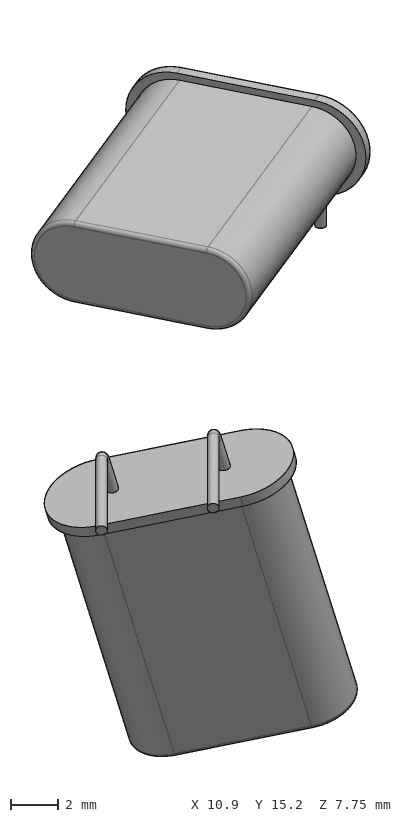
import cadquery as cq

can_width = 10.0
can_height = 4.0
can_length = 12.5
can_edge_radius = 0.2

flange_width = 10.9
flange_height = 4.65
flange_thickness = 0.5

lead_diameter = 0.5
lead_spacing = 4.88
lead_reach = 2.25
lead_bend_radius = 0.5
overall_height = 7.75

flange_back = flange_thickness
lead_drop_y = flange_back + lead_reach - lead_diameter / 2
lead_tip_z = flange_height / 2 - overall_height


def stadium(width, height, y_start, length):
    """Upright stadium outline in XZ, extruded towards +Y from y_start."""
    return (
        cq.Workplane("XZ", origin=(0, y_start, 0))
        .slot2D(width, height)
        .extrude(-length)
    )


def make_can():
    can = stadium(can_width, can_height, -can_length, can_length)
    return can.faces("<Y").edges().fillet(can_edge_radius)


def make_flange():
    return stadium(flange_width, flange_height, 0, flange_thickness)


def make_lead(x):
    """Round wire swept along a straight, a quarter bend and a drop."""
    bend_start_y = lead_drop_y - lead_bend_radius
    path = (
        cq.Workplane("YZ", origin=(x, 0, 0))
        .moveTo(flange_back, 0)
        .lineTo(bend_start_y, 0)
        .tangentArcPoint((lead_drop_y, -lead_bend_radius), relative=False)
        .lineTo(lead_drop_y, lead_tip_z)
    )
    profile = cq.Workplane("XZ", origin=(x, flange_back, 0)).circle(lead_diameter / 2)
    return profile.sweep(path)


result = make_can().union(make_flange())
for lead_x in (-lead_spacing / 2, lead_spacing / 2):
    result = result.union(make_lead(lead_x))